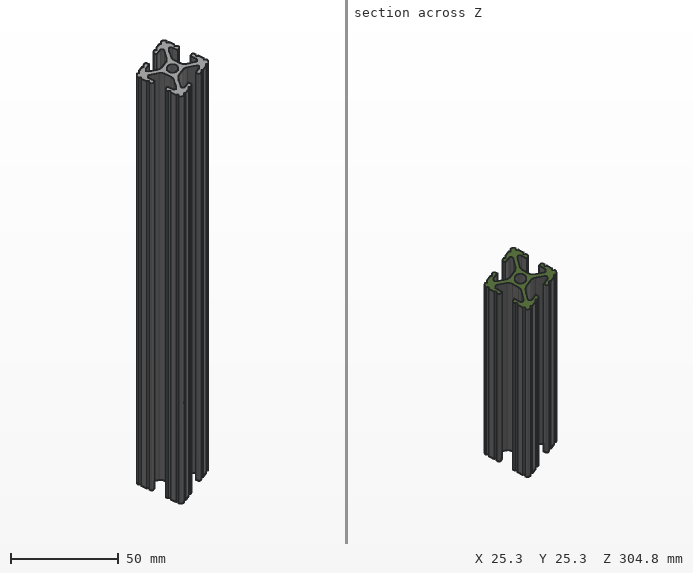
import cadquery as cq
import math

LENGTH = 304.8
WIDTH = 25.3
CORNER_RADIUS = 1.8
SIDES = 4

SLOT_OPENING = 6.7
LIP_THICKNESS = 2.0
LIP_RADIUS = 1.0
POCKET_RADIUS = 1.07

WEB_THICKNESS = 2.0
WEB_ANGLE = math.radians(45)
CORE_WIDTH = 9.0
CORE_RADIUS = 3.5
HOLE_DIAMETER = 5.2

GROOVE_OFFSETS = (5.8, 10.0)
GROOVE_RADIUS = 0.5

half_width = WIDTH / 2


def make_bar():
    """Solid square bar with rounded corners."""
    return cq.Workplane("XY").rect(WIDTH, WIDTH).extrude(LENGTH).edges("|Z").fillet(CORNER_RADIUS)


def make_slot():
    """T-slot on the +Y side: flat floor on the core, web flanks, rounded pockets and mouth."""
    mouth_x = SLOT_OPENING / 2
    lip_y = half_width - LIP_THICKNESS
    floor_y = CORE_WIDTH / 2

    flank_rise = WEB_THICKNESS / 2 / math.cos(WEB_ANGLE)

    blend_length = CORE_RADIUS * math.tan(WEB_ANGLE / 2)
    floor_end_x = floor_y - flank_rise - blend_length
    flank_start_x = floor_y - flank_rise + blend_length * math.cos(WEB_ANGLE)

    pocket_length = POCKET_RADIUS / math.tan(WEB_ANGLE / 2)
    pocket_end_x = lip_y - flank_rise - pocket_length
    flank_end_x = lip_y - flank_rise - pocket_length * math.cos(WEB_ANGLE)

    return (
        cq.Workplane("XY")
        .moveTo(0, floor_y)
        .lineTo(floor_end_x, floor_y)
        .radiusArc((flank_start_x, flank_start_x + flank_rise), -CORE_RADIUS)
        .lineTo(flank_end_x, flank_end_x + flank_rise)
        .radiusArc((pocket_end_x, lip_y), -POCKET_RADIUS)
        .lineTo(mouth_x, lip_y)
        .lineTo(mouth_x, half_width - LIP_RADIUS)
        .radiusArc((mouth_x + LIP_RADIUS, half_width), LIP_RADIUS)
        .lineTo(0, half_width)
        .mirrorY()
        .extrude(LENGTH)
    )


def make_grooves():
    """Round grooves along the outer +Y face, in pairs on both sides of the slot."""
    centres = [(side * offset, half_width) for offset in GROOVE_OFFSETS for side in (-1, 1)]
    return cq.Workplane("XY").pushPoints(centres).circle(GROOVE_RADIUS).extrude(LENGTH)


def make_hole():
    """Round hole through the core."""
    return cq.Workplane("XY").circle(HOLE_DIAMETER / 2).extrude(LENGTH)


result = make_bar().cut(make_hole())
slot = make_slot()
grooves = make_grooves()
for side_index in range(SIDES):
    angle = side_index * 360 / SIDES
    for tool in (slot, grooves):
        result = result.cut(tool.rotate((0, 0, 0), (0, 0, 1), angle))